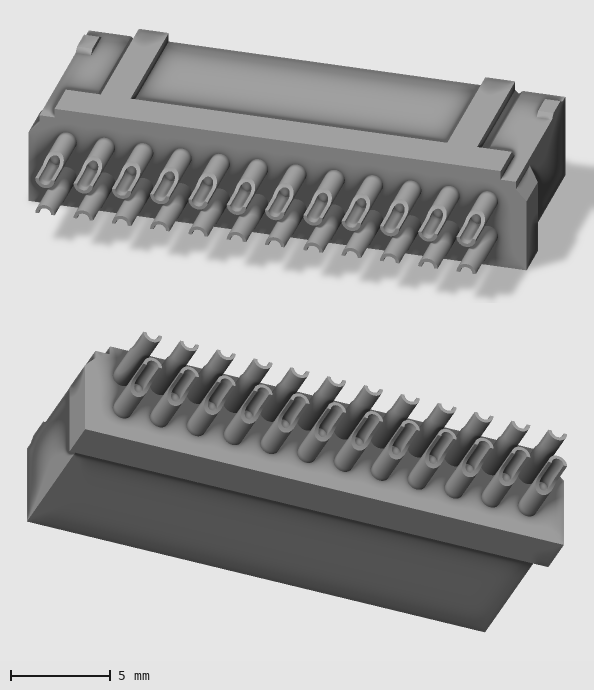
import cadquery as cq
import math


length = 26.0
depth = 9.05
height = 5.5
body_length = 24.88
body_bottom = 0.5
deck_height = 5.02

flange_depth = 2.05
flange_shoulder = 3.98
flange_top = 4.58

ridge_length = 23.3
rib_outer = 9.83
rib_inner = 8.27
groove_width = 0.4

latch_width = 0.8
latch_top = 5.25
latch_front = 6.63
latch_front_top = 6.9
latch_back_top = 8.16
latch_back = 8.55

pins_per_row = 12
pin_span = 22.0
row_spacing = 2.0
lower_row_height = 1.75
pin_diameter = 1.01
pin_length = 4.05
cup_bore_diameter = 0.65
cup_bore_depth = 2.13
cup_open_length = 1.22
cup_run_out_radius = 1.0

slope_run = height - deck_height
slope_end = flange_depth + slope_run


def centred_box(size_x, y_start, y_end, z_start, z_end, x=0):
    """Box centred on x, between the given depths and heights."""
    size_y = y_end - y_start
    size_z = z_end - z_start
    return cq.Workplane("XY").box(size_x, size_y, size_z, centered=(True, False, False)).translate(
        (x, y_start, z_start)
    )


def yz_prism(points, width, x=0):
    """Side profile of (y, z) points extruded along X and centred on x."""
    return cq.Workplane("YZ").polyline(points).close().extrude(width / 2, both=True).translate((x, 0, 0))


def make_flange():
    """Front plate with bevelled upper corners, sloping back to the body at its ends and bottom."""
    half = length / 2
    body_half = body_length / 2
    front_outline = [
        (-half, 0),
        (half, 0),
        (half, flange_shoulder),
        (body_half, flange_top),
        (-body_half, flange_top),
        (-half, flange_shoulder),
    ]
    plate = cq.Workplane("XZ").polyline(front_outline).close().extrude(-slope_end)
    side_profile = [
        (0, 0),
        (flange_depth, 0),
        (slope_end, body_bottom),
        (slope_end, height),
        (0, height),
    ]
    plan = [
        (-half, 0),
        (half, 0),
        (half, flange_depth),
        (body_half, slope_end),
        (-body_half, slope_end),
        (-half, flange_depth),
    ]
    plan_prism = cq.Workplane("XY").polyline(plan).close().extrude(height)
    return plate.intersect(yz_prism(side_profile, length)).intersect(plan_prism)


def make_ridges():
    """Bar along the pin face with a sloped back, and two ribs running to the rear."""
    bar_profile = [
        (0, deck_height),
        (slope_end, deck_height),
        (flange_depth, height),
        (0, height),
    ]
    ridges = yz_prism(bar_profile, ridge_length)
    rib_width = rib_outer - rib_inner
    rib_x = (rib_outer + rib_inner) / 2
    for side in (-1, 1):
        ridges = ridges.union(centred_box(rib_width, 0, depth, deck_height, height, side * rib_x))
    return ridges


def make_groove(side):
    """V groove beside a rib; its front end carries on the slope of the bar."""
    groove_depth = groove_width / 2
    section = [
        (side * rib_outer, deck_height),
        (side * (rib_outer + groove_width), deck_height),
        (side * (rib_outer + groove_depth), deck_height - groove_depth),
    ]
    groove = cq.Workplane("XZ").polyline(section).close().extrude(-depth)
    end_profile = [
        (slope_end, deck_height),
        (slope_end + groove_depth, deck_height - groove_depth),
        (depth, deck_height - groove_depth),
        (depth, deck_height),
    ]
    return groove.intersect(yz_prism(end_profile, length))


def make_latch(side):
    """Low bump with sloped front and back at the outer edge of the deck."""
    profile = [
        (latch_front, deck_height),
        (latch_front_top, latch_top),
        (latch_back_top, latch_top),
        (latch_back, deck_height),
    ]
    return yz_prism(profile, latch_width, side * (body_length - latch_width) / 2)


def make_pin():
    """Pin along -Y from the origin, its tip bored and cut open on the +Z side."""
    pin_radius = pin_diameter / 2
    pin = cq.Workplane("XZ").circle(pin_radius).extrude(pin_length)
    bore = cq.Workplane("XZ", origin=(0, cup_bore_depth - pin_length, 0))
    pin = pin.cut(bore.circle(cup_bore_diameter / 2).extrude(cup_bore_depth))

    open_end = cup_open_length - pin_length
    arc_angle = math.acos(1 - pin_radius / cup_run_out_radius)

    def arc_point(angle):
        return (
            open_end + cup_run_out_radius * math.sin(angle),
            cup_run_out_radius * (1 - math.cos(angle)),
        )

    opening = (
        cq.Workplane("YZ")
        .moveTo(-pin_length, 0)
        .lineTo(open_end, 0)
        .threePointArc(arc_point(arc_angle / 2), arc_point(arc_angle))
        .lineTo(-pin_length, pin_radius)
        .close()
        .extrude(pin_radius, both=True)
    )
    return pin.cut(opening)


housing = centred_box(body_length, 0, depth, body_bottom, deck_height)
housing = housing.union(make_flange()).union(make_ridges())
for side in (-1, 1):
    housing = housing.cut(make_groove(side)).union(make_latch(side))

upper_pin = make_pin()
lower_pin = upper_pin.mirror("XY")
pin_pitch = pin_span / (pins_per_row - 1)
result = housing
for index in range(pins_per_row):
    pin_x = index * pin_pitch - pin_span / 2
    result = result.union(lower_pin.translate((pin_x, 0, lower_row_height)))
    result = result.union(upper_pin.translate((pin_x, 0, lower_row_height + row_spacing)))